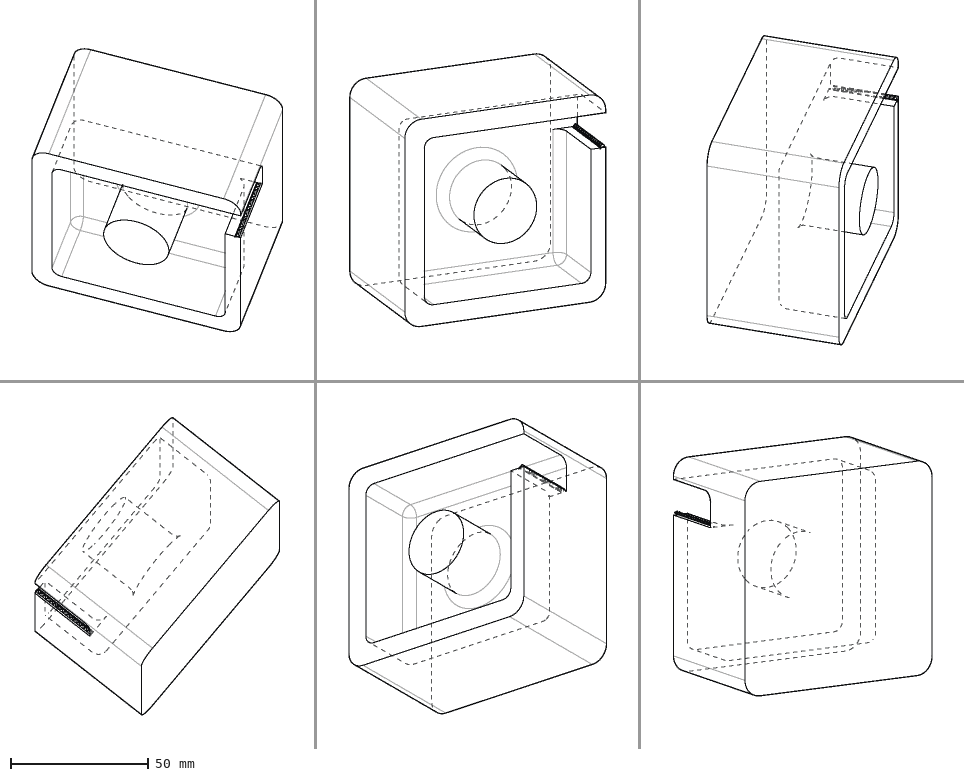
import cadquery as cq

size = 80.0
depth = 50.0
corner_radius = 6.5

wall = 7.75
right_wall = 5.95
cavity_depth = 25.8
inner_fillet = 3.7

sill_height = 19.0

pin_diameter = 25.0

tooth_pitch = 1.6
tooth_count = 16
tooth_width = 1.7
tooth_overhang = 0.18
tooth_inner_x = 37.6
tooth_inner_z = 18.6
tooth_outer_x = 39.5
tooth_outer_z = 19.8
tooth_apex_x = 38.7
tooth_apex_z = 20.5

half = size / 2
front_y = -depth / 2
cavity_left = -half + wall
cavity_right = half - right_wall
cavity_bottom = -half + wall
cavity_top = half - wall


def front_pocket(x_min, x_max, z_min, z_max):
    """Box reaching from the front face to the cavity floor."""
    return (
        cq.Workplane("XY")
        .box(x_max - x_min, cavity_depth, z_max - z_min, centered=False)
        .translate((x_min, front_y, z_min))
    )


def housing():
    """Solid block with its four edges along Y rounded."""
    return cq.Workplane("XY").box(size, depth, size).edges("|Y").fillet(corner_radius)


def cavity():
    """Pocket with equal rounding in its corners and around its floor."""
    pocket = front_pocket(cavity_left, cavity_right, cavity_bottom, cavity_top)
    return pocket.edges("|Y or >Y").fillet(inner_fillet)


def opening():
    """Passage out through the right wall; the floor rounding continues along its top."""
    passage = front_pocket(cavity_right - inner_fillet, half, sill_height, cavity_top)
    return passage.edges(">Y and >Z").fillet(inner_fillet)


def pin():
    """Round pin with a fillet where it meets the cavity floor."""
    pin_radius = pin_diameter / 2
    return (
        cq.Workplane("XY")
        .lineTo(pin_radius, 0)
        .lineTo(pin_radius, cavity_depth - inner_fillet)
        .radiusArc((pin_radius + inner_fillet, cavity_depth), inner_fillet)
        .lineTo(0, cavity_depth)
        .close()
        .revolve(360, (0, 0, 0), (0, 1, 0))
        .translate((0, front_y, 0))
    )


def tooth(y):
    """Pyramid with its apex at the given Y and its base spread equally to both sides."""
    y_min = y - tooth_width / 2
    y_max = y + tooth_width / 2
    base = [
        cq.Vector(tooth_inner_x, y_min, tooth_inner_z),
        cq.Vector(tooth_outer_x, y_min, tooth_outer_z),
        cq.Vector(tooth_outer_x, y_max, tooth_outer_z),
        cq.Vector(tooth_inner_x, y_max, tooth_inner_z),
    ]
    apex = cq.Vector(tooth_apex_x, y, tooth_apex_z)
    outlines = [base]
    for start, end in zip(base, base[1:] + base[:1]):
        outlines.append([start, end, apex])
    faces = [cq.Face.makeFromWires(cq.Wire.makePolygon(points, close=True)) for points in outlines]
    return cq.Workplane(cq.Solid.makeSolid(cq.Shell.makeShell(faces)))


def tooth_row():
    """Overlapping teeth from the front towards the back; the first overhangs the front face."""
    first_y = front_y - tooth_overhang + tooth_width / 2
    row = tooth(first_y)
    for index in range(1, tooth_count):
        row = row.union(tooth(first_y + index * tooth_pitch))
    return row


result = housing().cut(cavity()).cut(opening()).union(pin()).union(tooth_row())